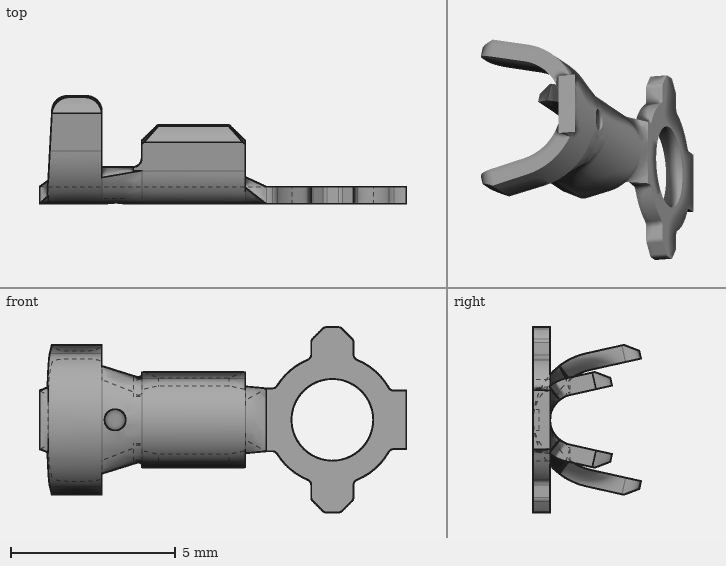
import cadquery as cq
import math

thickness = 0.53
overall_depth = 3.3

ring_radius = 1.98
hole_radius = 1.24
ear_half_width = 0.65
ear_reach = 2.83
ear_chamfer = 0.4
ear_blend = 0.17
end_tab_reach = 2.26
end_tab_half_height = 0.89
root_blend = 0.17
neck_half_height = 0.96

total_length = 11.18
tail_end = end_tab_reach - total_length
grip_start = -8.7
grip_end = -7.02
wire_start = -5.81
wire_end = -2.65
neck_end = -2.01

wing_lean = 12.6
grip_radius = 2.08
wire_radius = 1.3
wire_depth = 2.41
bevel_length = 0.42
bevel_drop = 0.28
grip_edge_slope = 0.054
grip_corner_radius = 0.49
wire_corner_chamfer = 0.5

tail_half_height = 0.89
tail_web_angle = 28.8
tail_overlap = 0.05
grip_web_angle = 52.2
neck_web_angle = 52.0
web_fillet = 0.26

dimple_x = -6.62
dimple_radius = 0.32
dimple_depth = 0.18

full_web_angle = 90.0 - wing_lean
match_tolerance = 0.001


def arc_point(bend_radius, radius, angle):
    """(Y, Z) at an angle in degrees from the bottom of a bend."""
    a = math.radians(angle)
    return bend_radius - radius * math.cos(a), radius * math.sin(a)


def mirrored(point):
    return point[0], -point[1]


def wing_point(bend_radius, depth, setback, height):
    """(Y, Z) on the +Z wing: setback from the tip, height above the inner face."""
    lean = math.radians(wing_lean)
    inner_root = arc_point(bend_radius, bend_radius - thickness, full_web_angle)
    tip_z = inner_root[1] + (depth - inner_root[0]) * math.tan(lean)
    y = depth - setback * math.cos(lean) - height * math.sin(lean)
    z = tip_z - setback * math.sin(lean) + height * math.cos(lean)
    return y, z


def crimp_body(bend_radius, depth, start, end):
    """U-shaped strip with square wing tips between two X stations."""
    inner_root = arc_point(bend_radius, bend_radius - thickness, full_web_angle)
    outer_root = arc_point(bend_radius, bend_radius, full_web_angle)
    inner_tip = wing_point(bend_radius, depth, 0, 0)
    outer_tip = wing_point(bend_radius, depth, 0, thickness)
    return (
        cq.Workplane("YZ", origin=(start, 0, 0))
        .moveTo(*outer_root)
        .lineTo(*outer_tip)
        .lineTo(*inner_tip)
        .lineTo(*inner_root)
        .threePointArc((thickness, 0), mirrored(inner_root))
        .lineTo(*mirrored(inner_tip))
        .lineTo(*mirrored(outer_tip))
        .lineTo(*mirrored(outer_root))
        .threePointArc((0, 0), outer_root)
        .close()
        .extrude(end - start)
    )


def tip_corners(body, bend_radius, depth):
    """Short edges at the four corners of the two wing tips."""
    tip_y, tip_z = wing_point(bend_radius, depth, 0, thickness / 2)

    def is_corner(edge):
        center = edge.Center()
        return math.hypot(center.y - tip_y, abs(center.z) - tip_z) < match_tolerance

    return body.newObject([edge for edge in body.edges().vals() if is_corner(edge)])


def bevel_tips(body, bend_radius, depth):
    """Thin both wing tips from the outside."""
    bevel = (
        cq.Workplane("YZ", origin=(tail_end, 0, 0))
        .moveTo(*wing_point(bend_radius, depth, bevel_length, thickness))
        .lineTo(*wing_point(bend_radius, depth, 0, thickness - bevel_drop))
        .lineTo(*wing_point(bend_radius, depth, 0, thickness))
        .close()
        .extrude(total_length)
    )
    return body.cut(bevel).cut(bevel.mirror("XY"))


def through_z(outline):
    """Solid that carries an XY outline through the whole height of the part."""
    return outline.extrude(ear_reach, both=True)


def arc_section(x, bend_radius, half_angle):
    """Closed curved-strip wire at station x."""
    inner_radius = bend_radius - thickness
    outer_end = arc_point(bend_radius, bend_radius, half_angle)
    inner_end = arc_point(bend_radius, inner_radius, half_angle)
    return (
        cq.Workplane("YZ", origin=(x, 0, 0))
        .moveTo(*mirrored(outer_end))
        .threePointArc((0, 0), outer_end)
        .lineTo(*inner_end)
        .threePointArc((thickness, 0), mirrored(inner_end))
        .close()
        .val()
    )


def flat_section(x, half_height):
    """Closed flat-strip wire at station x, with its corners in arc_section order."""
    return (
        cq.Workplane("YZ", origin=(x, 0, 0))
        .moveTo(0, -half_height)
        .lineTo(0, half_height)
        .lineTo(thickness, half_height)
        .lineTo(thickness, -half_height)
        .close()
        .val()
    )


def web(first_section, second_section):
    return cq.Workplane(obj=cq.Solid.makeLoft([first_section, second_section], True))


def strip_box(x_min, x_max, half_height):
    return cq.Workplane("XY").box(
        x_max - x_min, thickness, 2 * half_height, centered=(False, False, True)
    ).translate((x_min, 0, 0))


def make_ring():
    ring = cq.Workplane("XZ").circle(ring_radius).extrude(-thickness)
    ring = ring.union(strip_box(0, end_tab_reach, end_tab_half_height))
    ring = ring.union(strip_box(neck_end, 0, neck_half_height))
    ears = strip_box(-ear_half_width, ear_half_width, ear_reach)
    ears = ears.edges("|Y").chamfer(ear_chamfer).edges("|Y").fillet(ear_blend)
    ring = ring.union(ears)

    def at_root(edge):
        center = edge.Center()
        return abs(math.hypot(center.x, center.z) - ring_radius) < match_tolerance

    roots = [edge for edge in ring.edges("|Y").vals() if at_root(edge)]
    ring = ring.newObject(roots).fillet(root_blend)
    hole = cq.Workplane("XZ").circle(hole_radius).extrude(-thickness)
    return ring.cut(hole)


def make_insulation_grip():
    body = crimp_body(grip_radius, overall_depth, tail_end, grip_end)
    edge_run = grip_edge_slope * overall_depth
    outline = (
        cq.Workplane("XY")
        .moveTo(grip_start, 0)
        .lineTo(grip_start + edge_run, overall_depth)
        .lineTo(tail_end, overall_depth)
        .lineTo(tail_end, 0)
        .close()
    )
    body = body.cut(through_z(outline))
    body = tip_corners(body, grip_radius, overall_depth).fillet(grip_corner_radius)
    return bevel_tips(body, grip_radius, overall_depth)


def make_wire_barrel():
    body = crimp_body(wire_radius, wire_depth, wire_start, wire_end)
    body = tip_corners(body, wire_radius, wire_depth).chamfer(wire_corner_chamfer)
    return bevel_tips(body, wire_radius, wire_depth)


def make_wing_fillet():
    """Concave blend between the middle web's rim and the wire barrel's wings."""
    rim_y = arc_point(wire_radius, wire_radius - thickness, full_web_angle)[0]
    root_y = arc_point(wire_radius, wire_radius, full_web_angle)[0]
    start = wire_start - web_fillet
    arc_middle = web_fillet * math.sqrt(0.5)
    outline = (
        cq.Workplane("XY")
        .moveTo(start, root_y)
        .lineTo(start, rim_y)
        .threePointArc(
            (start + arc_middle, rim_y + web_fillet - arc_middle),
            (wire_start, rim_y + web_fillet),
        )
        .lineTo(wire_start, root_y)
        .close()
    )
    return crimp_body(wire_radius, wire_depth, start, wire_start).intersect(through_z(outline))


def make_dimple():
    return (
        cq.Workplane("XZ", origin=(dimple_x, 0, 0)).circle(dimple_radius).extrude(-dimple_depth)
    )


tail = web(
    flat_section(tail_end, tail_half_height),
    arc_section(grip_start + tail_overlap, grip_radius, tail_web_angle),
)
middle_web = web(
    arc_section(grip_end, grip_radius, grip_web_angle),
    arc_section(wire_start, wire_radius, full_web_angle),
)
neck = web(
    arc_section(wire_end, wire_radius, neck_web_angle),
    flat_section(neck_end, neck_half_height),
)

result = make_ring()
for section in (neck, make_wire_barrel(), make_wing_fillet(), middle_web, make_insulation_grip(), tail):
    result = result.union(section)
result = result.cut(make_dimple())